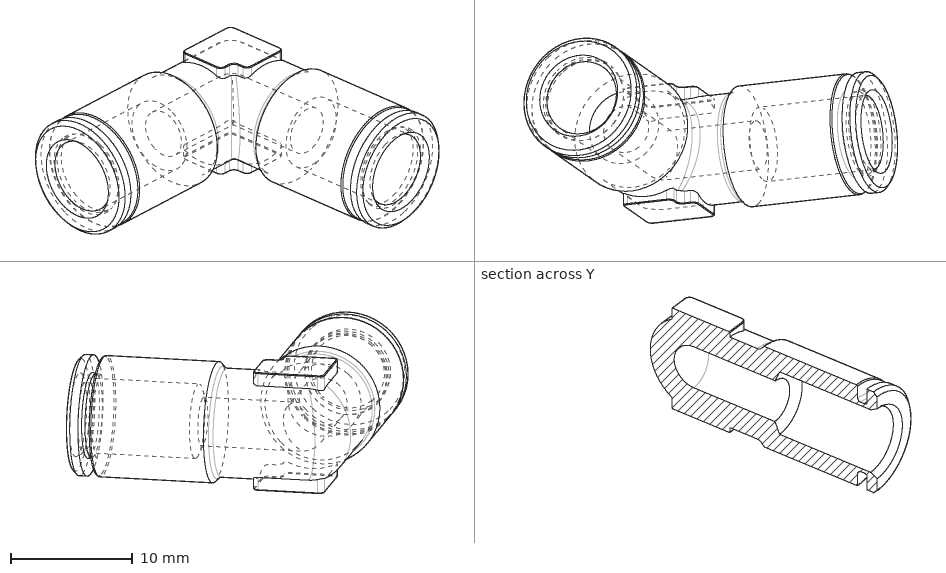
import cadquery as cq
import math

LEG_LENGTH = 18.8
BODY_RADIUS = 5.0
NECK_RADIUS = 4.5

NECK_END = 6.52
BODY_END = 16.83
FLANGE_START = 17.75

SHOULDER_ROUND = 0.5

GROOVE_RADIUS = 3.45
GROOVE_ROUND = 0.29
COLLAR_FLARE_LENGTH = 0.25
COLLAR_FLARE_HEIGHT = 0.1
FLANGE_CHAMFER = 0.35
BODY_EDGE_LENGTH = 0.15
BODY_EDGE_DEPTH = 0.07

MOUTH_RADIUS = 3.45
MOUTH_DEPTH = 0.65
SOCKET_RADIUS = 3.07
SOCKET_DEPTH = 10.0
SEAT_DEPTH = 0.48
BORE_RADIUS = 2.0

OUTER_ROUND = 2.45
INNER_ROUND = 0.5
ROUND_FADE = 0.95

PAD_OUTER = 2.25
PAD_INNER = 3.71
PAD_NOTCH = 2.2
PAD_ROUND = 0.5
PAD_EDGE = 0.07

SIN_45 = math.sin(math.pi / 4)
TOLERANCE = 0.0002
MITRE_PLANE = cq.Plane(origin=(0, 0, 0), xDir=(1, -1, 0), normal=(0, 0, 1))


def both_legs(leg):
    """Join a leg along +X with its twin along -Y."""
    return leg.union(leg.rotate((0, 0, 0), (1, -1, 0), 180))


def revolve_about_x(profile):
    return profile.close().revolve(360, (0, 0, 0), (1, 0, 0))


def lies_on_mitre(edge):
    point = edge.positionAt(0.4)
    return abs(point.x + point.y) < TOLERANCE


def round_mitre(solid, side, radius):
    """Round the mitre edge on the inner (side=1) or outer (side=-1) half of the elbow."""
    size = 2 * LEG_LENGTH
    block = cq.Workplane(MITRE_PLANE).center(side * (ROUND_FADE + size / 2), 0).box(size, size, size)
    corner = solid.intersect(block)
    edges = corner.edges("%ELLIPSE").filter(lies_on_mitre)
    return edges.fillet(radius).union(solid.cut(block))


def elbow():
    """Neck cylinders cut on the mitre plane and joined."""
    tube = cq.Workplane("YZ").workplane(offset=-BODY_RADIUS).circle(NECK_RADIUS).extrude(BODY_RADIUS + NECK_END)
    wedge = (
        cq.Workplane("XY")
        .polyline([(-NECK_END, NECK_END), (NECK_END, NECK_END), (NECK_END, -NECK_END)])
        .close()
        .extrude(BODY_RADIUS, both=True)
    )
    necks = both_legs(tube.intersect(wedge))
    return round_mitre(round_mitre(necks, -1, OUTER_ROUND), 1, INNER_ROUND)


def leg_end():
    """Body and release collar of one leg, without its bores."""
    cone_start = NECK_END + SHOULDER_ROUND * SIN_45
    cone_radius = NECK_RADIUS + SHOULDER_ROUND * (1 - SIN_45)
    arc_middle = math.pi / 8
    shoulder_middle = (
        NECK_END + SHOULDER_ROUND * math.sin(arc_middle),
        NECK_RADIUS + SHOULDER_ROUND * (1 - math.cos(arc_middle)),
    )
    groove_middle = (
        BODY_END + GROOVE_ROUND * (1 - SIN_45),
        GROOVE_RADIUS + GROOVE_ROUND * (1 - SIN_45),
    )
    return revolve_about_x(
        cq.Workplane("XY")
        .moveTo(NECK_END, 0)
        .lineTo(NECK_END, NECK_RADIUS)
        .threePointArc(shoulder_middle, (cone_start, cone_radius))
        .lineTo(cone_start + BODY_RADIUS - cone_radius, BODY_RADIUS)
        .lineTo(BODY_END - BODY_EDGE_LENGTH, BODY_RADIUS)
        .lineTo(BODY_END, BODY_RADIUS - BODY_EDGE_DEPTH)
        .lineTo(BODY_END, GROOVE_RADIUS + GROOVE_ROUND)
        .threePointArc(groove_middle, (BODY_END + GROOVE_ROUND, GROOVE_RADIUS))
        .lineTo(FLANGE_START - COLLAR_FLARE_LENGTH, GROOVE_RADIUS)
        .lineTo(FLANGE_START, GROOVE_RADIUS + COLLAR_FLARE_HEIGHT)
        .lineTo(FLANGE_START, BODY_RADIUS)
        .lineTo(LEG_LENGTH - FLANGE_CHAMFER, BODY_RADIUS)
        .lineTo(LEG_LENGTH, BODY_RADIUS - FLANGE_CHAMFER)
        .lineTo(LEG_LENGTH, 0)
    )


def leg_bore():
    """Mouth, socket, seat and flow bore of one leg, ending in a half sphere at the origin."""
    socket_end = LEG_LENGTH - SOCKET_DEPTH
    return revolve_about_x(
        cq.Workplane("XY")
        .moveTo(-BORE_RADIUS, 0)
        .threePointArc((-BORE_RADIUS * SIN_45, BORE_RADIUS * SIN_45), (0, BORE_RADIUS))
        .lineTo(socket_end - SEAT_DEPTH, BORE_RADIUS)
        .lineTo(socket_end, SOCKET_RADIUS)
        .lineTo(LEG_LENGTH - MOUTH_DEPTH, SOCKET_RADIUS)
        .lineTo(LEG_LENGTH, MOUTH_RADIUS)
        .lineTo(LEG_LENGTH, 0)
    )


def pads():
    """One notched block through the elbow, forming both pads."""
    outline = [
        (-PAD_OUTER, PAD_OUTER),
        (PAD_INNER, PAD_OUTER),
        (PAD_INNER, -PAD_NOTCH),
        (PAD_NOTCH, -PAD_NOTCH),
        (PAD_NOTCH, -PAD_INNER),
        (-PAD_OUTER, -PAD_INNER),
    ]
    block = cq.Workplane("XY").polyline(outline).close().extrude(BODY_RADIUS, both=True)
    return block.edges("|Z").fillet(PAD_ROUND).faces("|Z").edges().chamfer(PAD_EDGE)


result = elbow().union(pads()).union(both_legs(leg_end())).cut(both_legs(leg_bore()))